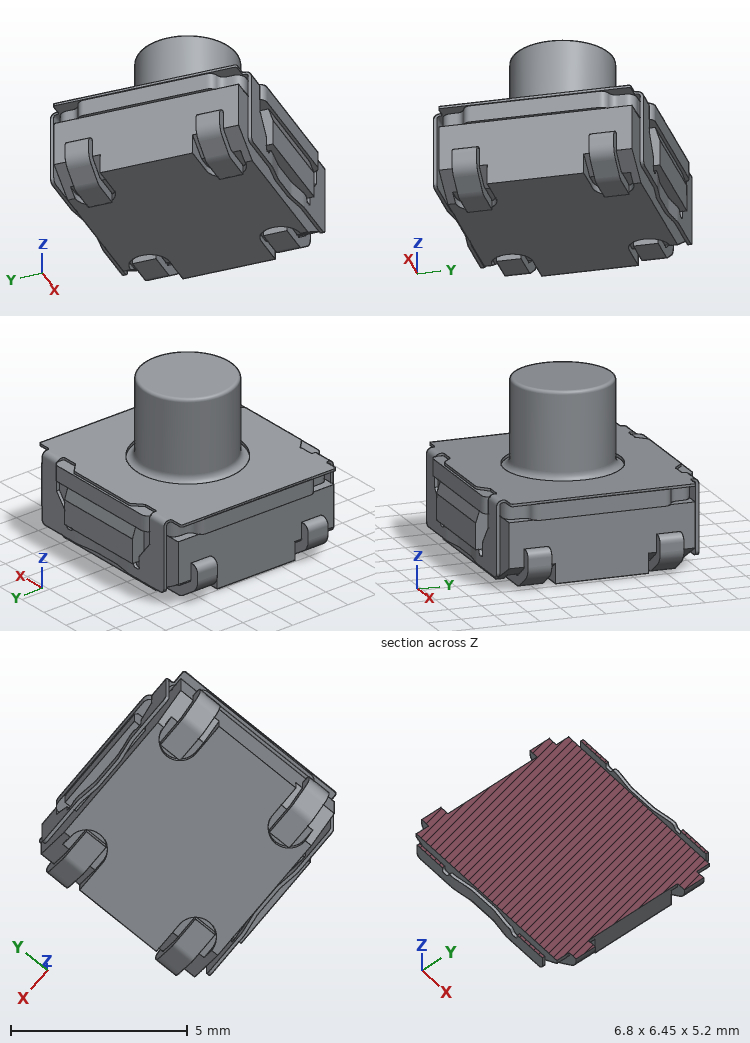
import cadquery as cq
import math

TOTAL_HEIGHT = 5.2
TOTAL_LENGTH = 6.8
TOTAL_WIDTH = 6.45
LID_SHEET = 0.075
FLAP_SHEET = 0.1

BODY_BOTTOM = 0.1
FRAME_BOTTOM = 2.06
LID_TOP = 2.64
LID_BOTTOM = LID_TOP - LID_SHEET

BODY_HALF_X = 3.095
BODY_HALF_Y = 2.815
CORNER_RELIEF_INNER_Y = 1.41
RELIEF_BOTTOM_X = 2.075
RELIEF_TOP_Z = 0.7

FRAME_HALF = 3.19
FRAME_FLAT_HALF = 1.885
FRAME_NECK_HALF = 2.83
FRAME_BEND_ANGLE = 75.0
FRAME_CORNER_RADIUS = 0.28

WEDGE_HALF_X = 1.54
WEDGE_BOTTOM = 0.865
WEDGE_SLOPE_START = 1.65
WEDGE_TOP_HALF_Y = 3.095

PLUNGER_DIAMETER = 3.0
PLUNGER_EDGE_RADIUS = 0.1
LID_HOLE_DIAMETER = 3.5
FLARE_BOTTOM = 2.55

TERMINAL_SHEET = 0.3
TERMINAL_PITCH = 4.0
TERMINAL_WIDTH = 0.72
TERMINAL_TOP = 1.24
TERMINAL_INNER_X = 1.64
TERMINAL_BEND_X = 2.645
TERMINAL_SLOPE = 34.0
FOOT_BEND_RADIUS = 0.34
SIDE_BEND_RADIUS = 0.475
TERMINAL_END_RADIUS = 0.225

LID_HALF_X = 3.22
LID_HALF_Y = 2.8
LID_CORNER_RADIUS = 0.07
TONGUE_ROOT_HALF = 1.585
TONGUE_TIP_HALF = 1.26
TONGUE_HALF_Y = 3.11
TONGUE_CORNER_RADIUS = 0.07

FLAP_HALF_X = 2.755
FLAP_FACE_Y = 3.07
FLAP_BOTTOM = 0.35
FLAP_BEND_RADIUS = 0.185
FLAP_CORNER_RADIUS = 0.15
FLAP_ROOT_RADIUS = 0.06
WINDOW_TOP_HALF = 2.1
WINDOW_LOW_HALF = 1.64
WINDOW_SLOPE_TOP = 1.65
WINDOW_SLOPE_BOTTOM = 1.09
WINDOW_SILL = 0.815
NOTCH_BOTTOM = 0.66
NOTCH_BOTTOM_INNER_X = 1.43
NOTCH_TOP_INNER_X = 1.33
NOTCH_RADIUS = 0.075

JOG_OUTER_X = 1.245
JOG_INNER_X = 0.42
JOG_BEND_LENGTH = 0.15


def box(x0, x1, y0, y1, z0, z1):
    return cq.Workplane("XY").box(x1 - x0, y1 - y0, z1 - z0, centered=False).translate((x0, y0, z0))


def both_ways(shape, plane):
    """The shape together with its mirror image."""
    return shape.union(shape.mirror(plane))


def make_frame():
    """Square frame with flat sides, stepped in at each corner by an S-shaped bend."""
    step = FRAME_HALF - FRAME_NECK_HALF
    angle = math.radians(FRAME_BEND_ANGLE)
    radius = step / 2 / (1 - math.cos(angle))
    bend_half = radius * math.sin(angle)
    corner_start = FRAME_NECK_HALF - FRAME_CORNER_RADIUS
    middle = (FRAME_HALF - step / 2, FRAME_FLAT_HALF + bend_half)
    neck = (FRAME_NECK_HALF, FRAME_FLAT_HALF + 2 * bend_half)
    wall = (
        cq.Workplane("XY", origin=(0, 0, FRAME_BOTTOM))
        .moveTo(0, 0)
        .lineTo(FRAME_HALF, 0)
        .lineTo(FRAME_HALF, FRAME_FLAT_HALF)
        .tangentArcPoint(middle, relative=False)
        .tangentArcPoint(neck, relative=False)
        .lineTo(FRAME_NECK_HALF, corner_start)
        .tangentArcPoint((corner_start, FRAME_NECK_HALF), relative=False)
        .lineTo(neck[1], neck[0])
        .tangentArcPoint((middle[1], middle[0]), relative=False)
        .tangentArcPoint((FRAME_FLAT_HALF, FRAME_HALF), relative=False)
        .lineTo(0, FRAME_HALF)
        .close()
        .extrude(LID_BOTTOM - FRAME_BOTTOM)
    )
    return both_ways(both_ways(wall, "YZ"), "XZ")


def make_wedges():
    half_y = TOTAL_WIDTH / 2
    profile = [
        (0, WEDGE_BOTTOM),
        (half_y, WEDGE_BOTTOM),
        (half_y, WEDGE_SLOPE_START),
        (WEDGE_TOP_HALF_Y, FRAME_BOTTOM),
        (0, FRAME_BOTTOM),
    ]
    wedge = cq.Workplane("YZ").polyline(profile).close().extrude(WEDGE_HALF_X, both=True)
    return both_ways(wedge, "XZ")


def make_terminal_reliefs():
    """Slope under each base corner, and a round-ended recess that takes the terminal foot."""
    slope = (
        cq.Workplane("XZ", origin=(0, BODY_HALF_Y, 0))
        .polyline([(RELIEF_BOTTOM_X, BODY_BOTTOM), (BODY_HALF_X, BODY_BOTTOM), (BODY_HALF_X, RELIEF_TOP_Z)])
        .close()
        .extrude(BODY_HALF_Y - CORNER_RELIEF_INNER_Y)
    )
    middle_y = TERMINAL_PITCH / 2
    half_width = middle_y - CORNER_RELIEF_INNER_Y
    recess = box(
        RELIEF_BOTTOM_X, BODY_HALF_X,
        middle_y - half_width, middle_y + half_width,
        BODY_BOTTOM, TERMINAL_SHEET,
    )
    recess_end = (
        cq.Workplane("XY", origin=(RELIEF_BOTTOM_X, middle_y, BODY_BOTTOM))
        .circle(half_width)
        .extrude(TERMINAL_SHEET - BODY_BOTTOM)
    )
    return both_ways(both_ways(slope.union(recess).union(recess_end), "YZ"), "XZ")


def make_terminals():
    """Four bent strips: a flat foot, a rising slope and an upright against the base."""
    outer_x = TOTAL_LENGTH / 2
    inner_x = BODY_HALF_X
    slope = math.radians(TERMINAL_SLOPE)
    outer_bend_z = (outer_x - TERMINAL_BEND_X) * math.tan(slope)
    inner_foot_bend_x = TERMINAL_BEND_X - TERMINAL_SHEET * math.tan(slope / 2)
    inner_bend_z = TERMINAL_SHEET + (inner_x - inner_foot_bend_x) * math.tan(slope)
    strip = (
        cq.Workplane("XZ", origin=(0, (TERMINAL_PITCH + TERMINAL_WIDTH) / 2, 0))
        .polyline([
            (TERMINAL_INNER_X, 0),
            (TERMINAL_BEND_X, 0),
            (outer_x, outer_bend_z),
            (outer_x, TERMINAL_TOP),
            (inner_x, TERMINAL_TOP),
            (inner_x, inner_bend_z),
            (inner_foot_bend_x, TERMINAL_SHEET),
            (TERMINAL_INNER_X, TERMINAL_SHEET),
        ])
        .close()
        .extrude(TERMINAL_WIDTH)
    )
    bends = [
        ((TERMINAL_BEND_X, 0), FOOT_BEND_RADIUS),
        ((outer_x, outer_bend_z), SIDE_BEND_RADIUS),
        ((outer_x, TERMINAL_TOP), TERMINAL_END_RADIUS),
        ((inner_x, inner_bend_z), SIDE_BEND_RADIUS - TERMINAL_SHEET),
        ((inner_foot_bend_x, TERMINAL_SHEET), FOOT_BEND_RADIUS - TERMINAL_SHEET),
    ]
    for (x, z), radius in bends:
        corner = cq.selectors.NearestToPointSelector((x, TERMINAL_PITCH / 2, z))
        strip = strip.edges("|Y").edges(corner).fillet(radius)
    return both_ways(both_ways(strip, "YZ"), "XZ")


def make_lid_plate():
    plate = (
        box(-LID_HALF_X, LID_HALF_X, -LID_HALF_Y, LID_HALF_Y, LID_BOTTOM, LID_TOP)
        .edges("|Z")
        .fillet(LID_CORNER_RADIUS)
    )
    tongues = (
        cq.Workplane("XY", origin=(0, 0, LID_BOTTOM))
        .polyline([
            (TONGUE_ROOT_HALF, LID_HALF_Y),
            (TONGUE_TIP_HALF, TONGUE_HALF_Y),
            (-TONGUE_TIP_HALF, TONGUE_HALF_Y),
            (-TONGUE_ROOT_HALF, LID_HALF_Y),
            (-TONGUE_ROOT_HALF, -LID_HALF_Y),
            (-TONGUE_TIP_HALF, -TONGUE_HALF_Y),
            (TONGUE_TIP_HALF, -TONGUE_HALF_Y),
            (TONGUE_ROOT_HALF, -LID_HALF_Y),
        ])
        .close()
        .extrude(LID_SHEET)
        .edges("|Z and (<Y or >Y)")
        .fillet(TONGUE_CORNER_RADIUS)
    )
    return plate.union(tongues)


def make_window():
    """Opening in a flap around the wedge, with a rounded notch at each end of the sill."""
    right_side = [
        (WINDOW_TOP_HALF, LID_TOP),
        (WINDOW_TOP_HALF, WINDOW_SLOPE_TOP),
        (WINDOW_LOW_HALF, WINDOW_SLOPE_BOTTOM),
        (WINDOW_LOW_HALF, NOTCH_BOTTOM),
        (NOTCH_BOTTOM_INNER_X, NOTCH_BOTTOM),
        (NOTCH_TOP_INNER_X, WINDOW_SILL),
    ]
    left_side = [(-x, z) for x, z in reversed(right_side)]
    window = (
        cq.Workplane("XZ", origin=(0, FLAP_FACE_Y, 0))
        .polyline(right_side + left_side)
        .close()
        .extrude(FLAP_FACE_Y - LID_HALF_Y)
    )
    notch_corners = right_side[3:] + left_side[:3]
    for x, z in notch_corners:
        corner = cq.selectors.NearestToPointSelector((x, (FLAP_FACE_Y + LID_HALF_Y) / 2, z))
        window = window.edges("|Y").edges(corner).fillet(NOTCH_RADIUS)
    return window


def make_jog():
    """Strip that steps inward by one sheet thickness through two gentle bends at each end."""
    span = JOG_OUTER_X - JOG_INNER_X
    rise_per_x = FLAP_SHEET / (span - JOG_BEND_LENGTH)
    bend_drop = rise_per_x * JOG_BEND_LENGTH / 2

    def bend_points(sheet_y):
        """Ends of the two bends on one sheet face, from the flap towards the middle."""
        deep_y = sheet_y - FLAP_SHEET
        return [
            (JOG_OUTER_X, sheet_y),
            (JOG_OUTER_X - JOG_BEND_LENGTH, sheet_y - bend_drop),
            (JOG_INNER_X + JOG_BEND_LENGTH, deep_y + bend_drop),
            (JOG_INNER_X, deep_y),
        ]

    def add_face(outline, points):
        """Bend, slope and second bend, starting at the first point."""
        start, slope_start, slope_end, end = points
        bend_middle = ((start[0] + slope_start[0]) / 2, start[1] + (slope_start[1] - start[1]) / 4)
        outline = outline.threePointArc(bend_middle, slope_start).lineTo(*slope_end)
        return outline.tangentArcPoint(end, relative=False)

    outer = bend_points(FLAP_FACE_Y)
    inner = bend_points(FLAP_FACE_Y - FLAP_SHEET)[::-1]
    outline = cq.Workplane("XY", origin=(0, 0, FLAP_BOTTOM)).moveTo(*outer[0])
    outline = add_face(outline, outer)
    outline = outline.lineTo(0, outer[-1][1]).lineTo(0, inner[0][1]).lineTo(*inner[0])
    outline = add_face(outline, inner)
    return both_ways(outline.close().extrude(WINDOW_SILL - FLAP_BOTTOM), "YZ")


def make_flaps():
    """Sheet bent down over each Y end, opened by the window."""
    bend_start_y = FLAP_FACE_Y - FLAP_BEND_RADIUS
    bend_end_z = LID_TOP - FLAP_BEND_RADIUS
    inner_y = FLAP_FACE_Y - FLAP_SHEET
    inner_bend_end_z = LID_BOTTOM - (inner_y - bend_start_y)
    flap = (
        cq.Workplane("YZ")
        .moveTo(LID_HALF_Y - FLAP_SHEET, LID_TOP)
        .lineTo(bend_start_y, LID_TOP)
        .tangentArcPoint((FLAP_FACE_Y, bend_end_z), relative=False)
        .lineTo(FLAP_FACE_Y, FLAP_BOTTOM)
        .lineTo(inner_y, FLAP_BOTTOM)
        .lineTo(inner_y, inner_bend_end_z)
        .tangentArcPoint((bend_start_y, LID_BOTTOM), relative=False)
        .lineTo(LID_HALF_Y - FLAP_SHEET, LID_BOTTOM)
        .close()
        .extrude(FLAP_HALF_X, both=True)
        .edges("|Y and <Z")
        .fillet(FLAP_CORNER_RADIUS)
    )
    strip = box(-JOG_OUTER_X, JOG_OUTER_X, inner_y, FLAP_FACE_Y, FLAP_BOTTOM, WINDOW_SILL)
    flap = flap.cut(make_window()).cut(strip).union(make_jog())
    return both_ways(flap, "XZ")


def make_lid():
    """Lid plate with its flaps, rounded in plan where each side of a flap joins the plate."""
    lid = make_lid_plate().union(make_flaps())
    middle_z = (LID_TOP + LID_BOTTOM) / 2
    for x in (-FLAP_HALF_X, -WINDOW_TOP_HALF, WINDOW_TOP_HALF, FLAP_HALF_X):
        for y in (-LID_HALF_Y, LID_HALF_Y):
            corner = cq.selectors.NearestToPointSelector((x, y, middle_z))
            lid = lid.edges("|Z").edges(corner).fillet(FLAP_ROOT_RADIUS)
    return lid


def make_plunger():
    """Round plunger flaring at its foot to the edge of the lid hole."""
    radius = PLUNGER_DIAMETER / 2
    hole_radius = LID_HOLE_DIAMETER / 2
    flare_top = FLARE_BOTTOM + hole_radius - radius
    return (
        cq.Workplane("XZ")
        .moveTo(0, FRAME_BOTTOM)
        .lineTo(hole_radius, FRAME_BOTTOM)
        .lineTo(hole_radius, FLARE_BOTTOM)
        .radiusArc((radius, flare_top), hole_radius - radius)
        .lineTo(radius, TOTAL_HEIGHT - PLUNGER_EDGE_RADIUS)
        .tangentArcPoint((radius - PLUNGER_EDGE_RADIUS, TOTAL_HEIGHT), relative=False)
        .lineTo(0, TOTAL_HEIGHT)
        .close()
        .revolve(360, (0, 0, 0), (0, 1, 0))
    )


body = box(-BODY_HALF_X, BODY_HALF_X, -BODY_HALF_Y, BODY_HALF_Y, BODY_BOTTOM, FRAME_BOTTOM)
body = body.cut(make_terminal_reliefs())
shell = body.union(make_frame()).union(make_wedges()).union(make_terminals()).union(make_lid())

lid_hole = (
    cq.Workplane("XY", origin=(0, 0, FLARE_BOTTOM))
    .circle(LID_HOLE_DIAMETER / 2)
    .extrude(LID_TOP - FLARE_BOTTOM)
)
result = shell.cut(lid_hole).union(make_plunger())